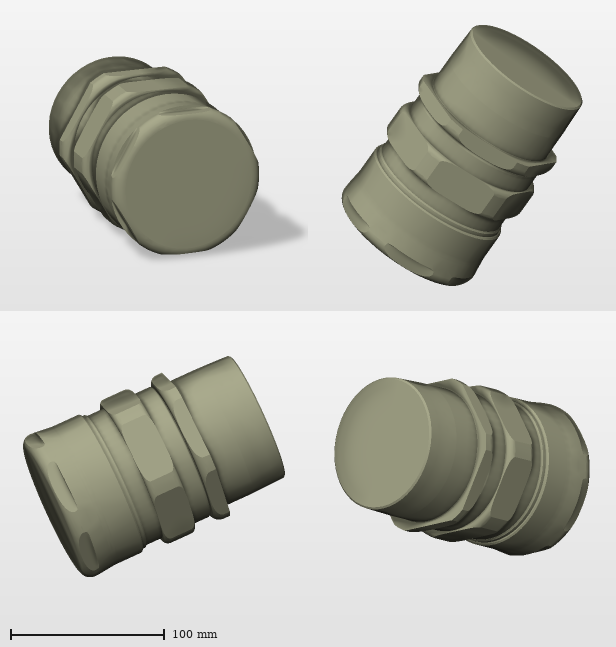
import cadquery as cq
import math


across_flats = 95.0
hex_corner_dia = 104.0

entry_tip_dia = 85.0
entry_tip_chamfer = 1.0
taper_start_dia = 87.31
spigot_dia = 88.9
taper_end_x = 23.8
flange_x = 44.0
flange_width = 10.15
flange_corner_round = 6.0
flange_root_chamfer = 0.5
neck_dia = 85.0
flange_end_x = flange_x + flange_width
tip_slope = (spigot_dia - taper_start_dia) / taper_end_x
tip_chamfer_dia = taper_start_dia + tip_slope * entry_tip_chamfer

middle_x = 55.0
collar_dia = 93.0
collar_round = 1.5
middle_hex_x = 67.8
middle_hex_width = 22.3
middle_hex_round = 4.0
barrel_dia = 92.52
middle_hex_end_x = middle_hex_x + middle_hex_width

ring_x = 101.5
ring_dia = 95.0
edge_chamfer = 1.0

cap_x = 105.0
cap_end_x = 147.14
cap_dia = 98.8
flare_x = 125.2
flare_angle = math.radians(6.3)
flare_blend_radius = 36.0
cap_end_round = 7.15
flat_x = 137.1
flat_root_round = 1.1
flat_count = 6
flare_end_dia = cap_dia + 2 * (cap_end_x - flare_x) * math.tan(flare_angle)


def disc(x, length, diameter):
    """Cylinder along X that starts at x."""
    return cq.Workplane("YZ", origin=(x, 0, 0)).circle(diameter / 2).extrude(length)


def frustum(x, length, start_dia, end_dia):
    """Cone along X from start_dia at x to end_dia."""
    outline = [
        (x, 0),
        (x, start_dia / 2),
        (x + length, end_dia / 2),
        (x + length, 0),
    ]
    return cq.Workplane("XY").polyline(outline).close().revolve(360, (0, 0), (1, 0))


def rounded_hexagon(x, width, corner_round, rounded_ends):
    """Hexagon with flats facing +Z and -Z, its corners turned round and rolled over at the ends."""
    turned = disc(x, width, hex_corner_dia).edges(rounded_ends).fillet(corner_round)
    corner_to_corner = across_flats / math.cos(math.pi / 6)
    prism = cq.Workplane("YZ", origin=(x, 0, 0)).polygon(6, corner_to_corner).extrude(width)
    return turned.intersect(prism)


def make_entry_body():
    tip = frustum(0, entry_tip_chamfer, entry_tip_dia, tip_chamfer_dia)
    taper = frustum(entry_tip_chamfer, taper_end_x - entry_tip_chamfer, tip_chamfer_dia, spigot_dia)
    spigot = disc(taper_end_x, flange_x - taper_end_x, spigot_dia)
    root = frustum(
        flange_x - flange_root_chamfer,
        flange_root_chamfer,
        spigot_dia,
        spigot_dia + 2 * flange_root_chamfer,
    )
    flange = rounded_hexagon(flange_x, flange_width, flange_corner_round, ">X")
    neck = disc(flange_end_x, middle_x - flange_end_x, neck_dia)
    return tip.union(taper).union(spigot).union(root).union(flange).union(neck)


def make_middle_body():
    collar = disc(middle_x, middle_hex_x - middle_x, collar_dia).edges("<X").fillet(collar_round)
    hexagon = rounded_hexagon(middle_hex_x, middle_hex_width, middle_hex_round, "<X or >X")
    barrel = disc(middle_hex_end_x, ring_x - middle_hex_end_x, barrel_dia)
    return collar.union(hexagon).union(barrel)


def make_ring():
    return disc(ring_x, cap_x - ring_x, ring_dia).edges("<X").chamfer(edge_chamfer)


def make_wrench_flat_cutter():
    """Block above the +Z wrench flat, its lower -X edge rounded to leave a root fillet."""
    cut_length = 2 * (cap_end_x - flat_x)
    cut_width = 2 * flare_end_dia
    cut_height = flare_end_dia / 2
    block = cq.Workplane("XY").box(cut_length, cut_width, cut_height, centered=(False, True, False))
    return block.edges("<X and <Z").fillet(flat_root_round).translate((flat_x, 0, across_flats / 2))


def make_cap():
    blend_reach = flare_blend_radius * math.tan(flare_angle / 2)
    blend_half_angle = flare_angle / 2
    blend_rise = flare_blend_radius * (1 - math.cos(blend_half_angle))
    blend_start = (flare_x - blend_reach, cap_dia / 2)
    blend_middle = (
        blend_start[0] + flare_blend_radius * math.sin(blend_half_angle),
        blend_start[1] + blend_rise,
    )
    blend_end = (
        flare_x + blend_reach * math.cos(flare_angle),
        cap_dia / 2 + blend_reach * math.sin(flare_angle),
    )
    cap = (
        cq.Workplane("XY")
        .moveTo(cap_x, 0)
        .lineTo(cap_x, cap_dia / 2 - edge_chamfer)
        .lineTo(cap_x + edge_chamfer, cap_dia / 2)
        .lineTo(*blend_start)
        .threePointArc(blend_middle, blend_end)
        .lineTo(cap_end_x, flare_end_dia / 2)
        .lineTo(cap_end_x, 0)
        .close()
        .revolve(360, (0, 0), (1, 0))
        .edges(">X")
        .fillet(cap_end_round)
    )
    cutter = make_wrench_flat_cutter()
    for index in range(flat_count):
        turn = index * 360 / flat_count
        cap = cap.cut(cutter.rotate((0, 0, 0), (1, 0, 0), turn))
    return cap


entry_body = make_entry_body()
middle_body = make_middle_body()
ring = make_ring()
cap = make_cap()

result = cq.Compound.makeCompound([entry_body.val(), middle_body.val(), ring.val(), cap.val()])